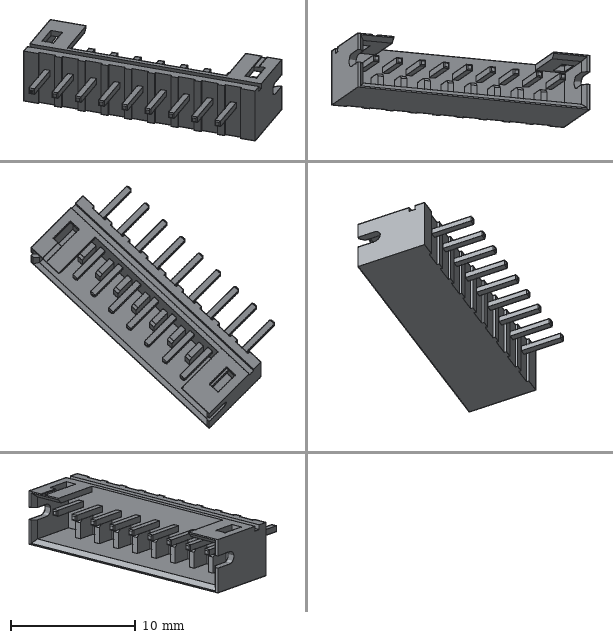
import cadquery as cq

length = 19.9
height = 4.5
depth = 5.99
overall_depth = 9.4

front_wall = 1.8
side_wall = 0.6
skin = 0.48
lead_in = 0.35

pin_count = 9
end_margin = 1.95
pin_size = 0.5
pin_setback = 0.9
pin_axis_drop = 1.7
pin_taper = 0.1

dimple_diameter = 0.12
dimple_depth = 0.1

relief_width = 1.4
relief_depth = 0.2

groove_width = 0.52
groove_depth = 0.4
groove_front = 0.85

wing_length = 3.08

slot_width = 0.98
slot_length = 1.99
slot_from_end = 0.74
slot_from_back = 1.8

marker_width = 0.44
marker_depth = 0.1

notch_width = 1.03
notch_length = 1.99
notch_axis_drop = 1.9

rib_width = 0.5
rib_length = 1.6
rib_height = 1.6
rib_bevel = 0.24

pitch = (length - 2 * end_margin) / (pin_count - 1)
pin_places = [end_margin + i * pitch for i in range(pin_count)]
rib_places = [x + pitch / 2 for x in pin_places[:-1]]
pin_z = height - pin_axis_drop
notch_z = height - notch_axis_drop
roof_underside = height - skin
slot_back = depth - slot_from_back


def block(x0, x1, y0, y1, z0, z1):
    """Box spanning the given limits along X, Y and Z."""
    return cq.Workplane("XY", origin=(x0, y0, z0)).box(x1 - x0, y1 - y0, z1 - z0, centered=False)


def make_cavity():
    cavity_length = length - 2 * side_wall
    cavity_height = roof_underside - skin
    cavity = block(side_wall, length - side_wall, front_wall, depth, skin, roof_underside)
    mouth = (
        cq.Workplane("XZ", origin=(length / 2, depth, skin + cavity_height / 2))
        .rect(cavity_length + 2 * lead_in, cavity_height + 2 * lead_in)
        .workplane(offset=lead_in)
        .rect(cavity_length, cavity_height)
        .loft()
    )
    return cavity.union(mouth)


def make_rib(x):
    """Floor rib with the top edge of its free end bevelled at 45 degrees."""
    rib_end = front_wall + rib_length
    return (
        cq.Workplane("YZ", origin=(x - rib_width / 2, 0, skin))
        .moveTo(front_wall, 0)
        .lineTo(rib_end, 0)
        .lineTo(rib_end, rib_height - rib_bevel)
        .lineTo(rib_end - rib_bevel, rib_height)
        .lineTo(front_wall, rib_height)
        .close()
        .extrude(rib_width)
    )


def make_notch(x):
    """Cutter for the notch through the end wall that starts at x."""
    radius = notch_width / 2
    round_center = depth - notch_length + radius
    return (
        cq.Workplane("YZ", origin=(x, 0, notch_z))
        .moveTo(depth, -radius)
        .lineTo(round_center, -radius)
        .threePointArc((round_center - radius, 0), (round_center, radius))
        .lineTo(depth, radius)
        .close()
        .extrude(side_wall)
    )


def make_pin(x):
    half = pin_size / 2
    bar = block(x - half, x + half, depth - overall_depth, depth - pin_setback, pin_z - half, pin_z + half)
    return bar.faces("<Y or >Y").chamfer(pin_taper)


result = block(0, length, 0, depth, 0, height).cut(make_cavity())
for x in rib_places:
    result = result.union(make_rib(x))

result = result.cut(block(wing_length, length - wing_length, front_wall, depth, roof_underside, height))
groove_back = groove_front + groove_width
result = result.cut(block(0, length, groove_front, groove_back, height - groove_depth, height))

right_slot_x = length - slot_from_end - slot_width
for x in (slot_from_end, right_slot_x):
    result = result.cut(block(x, x + slot_width, slot_back - slot_length, slot_back, roof_underside, height))
marker_end_x = right_slot_x + marker_width
result = result.cut(block(right_slot_x, marker_end_x, slot_back, depth, height - marker_depth, height))

for x in (0, length - side_wall):
    result = result.cut(make_notch(x))

for x in pin_places:
    result = result.cut(block(x - relief_width / 2, x + relief_width / 2, 0, relief_depth, 0, height))
for x in pin_places:
    result = result.union(make_pin(x))

tail_end = depth - overall_depth
dimple = (
    cq.Workplane("XZ", origin=(pin_places[0], tail_end, pin_z))
    .circle(dimple_diameter / 2)
    .extrude(-dimple_depth)
)
result = result.cut(dimple)